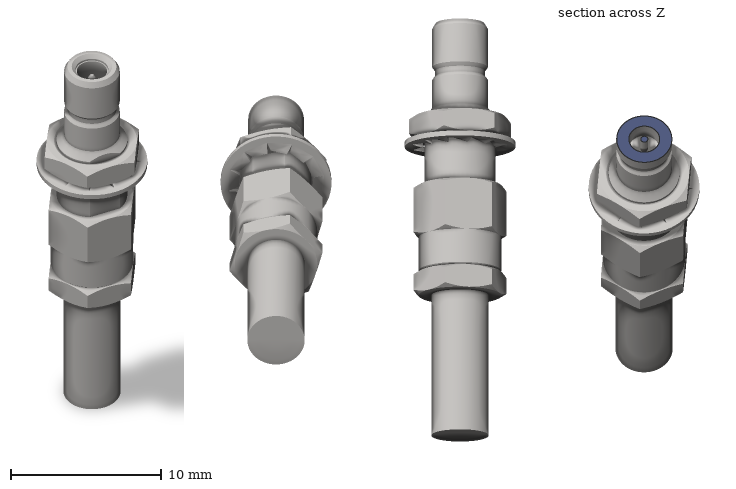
import cadquery as cq
import math

total_length = 28.1
plug_radius = 1.85
plug_tip_radius = 1.63
plug_tip_height = 0.37
groove_top_z = 25.12
groove_bottom_z = 24.25
groove_radius = 1.65
groove_flank_height = 0.25
cone_top_z = 22.28
neck_radius = 2.35
cone_bottom_z = cone_top_z - (neck_radius - plug_radius)
neck_flat_x = 2.08
wrench_hex_top_z = 17.0
wrench_hex_bottom_z = 13.52
collar_radius = 2.75
collar_bottom_z = 11.15
collar_chamfer = 0.08
clamp_hex_top_z = 11.1
clamp_hex_bottom_z = 9.55
clamp_neck_radius = collar_radius - 0.17
tube_radius = 1.9

body_hex_half_width = 2.75
nut_hex_half_width = 3.0
hex_half_angle = 30.0
hex_bevel_slope = math.tan(math.radians(30))

nut_top_z = 21.7
nut_bottom_z = 20.18
nut_countersink_radius = 2.53
nut_countersink_slope = math.tan(math.radians(30))

socket_mouth_radius = 1.35
socket_mouth_depth = 0.25
socket_step_radius = 1.1
socket_step_depth = 0.4
socket_radius = 1.0
socket_depth = 3.37
pin_radius = 0.25
pin_tip_radius = 0.1
pin_taper_height = 0.22
pin_top_depth = 0.73

washer_diameter = 7.4
washer_top_z = 20.0
washer_thickness = 0.35
tooth_root_apothem = 3.15
tooth_tip_apothem = 2.45
tooth_count = 12
tooth_pitch_angle = 360 / tooth_count
tooth_tip_gap_angle = 5.0
tooth_twist_rise = nut_bottom_z - washer_top_z


def turned(profile):
    """Solid of revolution about Z from (radius, z) points."""
    return cq.Workplane("XZ").polyline(profile).close().revolve(360, (0, 0, 0), (0, 1, 0))


def bevelled_hex(half_width, bottom_z, top_z):
    """Hexagonal prism with flats facing +X and -X, its corners bevelled at both ends."""
    corner_radius = half_width / math.cos(math.radians(hex_half_angle))
    bevel_height = (corner_radius - half_width) * hex_bevel_slope
    prism = (
        cq.Workplane("XY", origin=(0, 0, bottom_z))
        .polygon(6, 2 * corner_radius)
        .extrude(top_z - bottom_z)
        .rotate((0, 0, 0), (0, 0, 1), hex_half_angle)
    )
    envelope = turned([
        (0, bottom_z),
        (half_width, bottom_z),
        (corner_radius, bottom_z + bevel_height),
        (corner_radius, top_z - bevel_height),
        (half_width, top_z),
        (0, top_z),
    ])
    return prism.intersect(envelope)


def plug_and_neck():
    """Plug end with its snap groove, cone and threaded neck, flattened on the +X side."""
    blank = turned([
        (0, wrench_hex_bottom_z),
        (neck_radius, wrench_hex_bottom_z),
        (neck_radius, cone_bottom_z),
        (plug_radius, cone_top_z),
        (plug_radius, groove_bottom_z),
        (groove_radius, groove_bottom_z + groove_flank_height),
        (groove_radius, groove_top_z - groove_flank_height),
        (plug_radius, groove_top_z),
        (plug_radius, total_length - plug_tip_height),
        (plug_tip_radius, total_length),
        (0, total_length),
    ])
    flat_depth = neck_radius - neck_flat_x
    flat_cutter = cq.Workplane("XY", origin=(neck_flat_x, 0, wrench_hex_top_z)).box(
        flat_depth, 2 * neck_radius, cone_top_z - wrench_hex_top_z, centered=(False, True, False)
    )
    return blank.cut(flat_cutter)


def collar_and_tube():
    """Round collar between the two hexes, and the tail tube below them."""
    return turned([
        (0, 0),
        (tube_radius, 0),
        (tube_radius, clamp_hex_bottom_z),
        (clamp_neck_radius, clamp_hex_bottom_z),
        (clamp_neck_radius, collar_bottom_z),
        (collar_radius - collar_chamfer, collar_bottom_z),
        (collar_radius, collar_bottom_z + collar_chamfer),
        (collar_radius, wrench_hex_bottom_z),
        (0, wrench_hex_bottom_z),
    ])


def countersunk_nut():
    """Hex nut whose shallow countersink runs down to the flat of the neck."""
    countersink_depth = (nut_countersink_radius - neck_flat_x) * nut_countersink_slope
    countersink = turned([
        (0, nut_top_z - countersink_depth),
        (neck_flat_x, nut_top_z - countersink_depth),
        (nut_countersink_radius, nut_top_z),
        (0, nut_top_z),
    ])
    return bevelled_hex(nut_hex_half_width, nut_bottom_z, nut_top_z).cut(countersink)


def socket():
    """Stepped bore of the plug end, less the contact pin that stands in it."""
    floor_z = total_length - socket_depth
    step_z = total_length - socket_step_depth
    bore = turned([
        (0, floor_z),
        (socket_radius, floor_z),
        (socket_radius, step_z),
        (socket_step_radius, step_z),
        (socket_step_radius, total_length - socket_mouth_depth),
        (socket_mouth_radius, total_length),
        (0, total_length),
    ])
    pin_top_z = total_length - pin_top_depth
    pin = turned([
        (0, floor_z),
        (pin_radius, floor_z),
        (pin_radius, pin_top_z - pin_taper_height),
        (pin_tip_radius, pin_top_z),
        (0, pin_top_z),
    ])
    return bore.cut(pin)


def make_housing():
    """Connector housing in one piece with its hexes, nut and contact pin."""
    return (
        plug_and_neck()
        .union(collar_and_tube())
        .union(bevelled_hex(body_hex_half_width, wrench_hex_bottom_z, wrench_hex_top_z))
        .union(bevelled_hex(body_hex_half_width, clamp_hex_bottom_z, clamp_hex_top_z))
        .union(countersunk_nut())
        .cut(socket())
    )


def tooth_section(apothem, gap_angle, twist_rise):
    """Upright cross-section of a tooth at a distance from Z, raised at one end and lowered at the other."""
    half_width = apothem * math.tan(math.radians((tooth_pitch_angle - gap_angle) / 2))
    washer_bottom_z = washer_top_z - washer_thickness
    return cq.Wire.makePolygon(
        [
            cq.Vector(apothem, half_width, washer_bottom_z - twist_rise),
            cq.Vector(apothem, half_width, washer_top_z - twist_rise),
            cq.Vector(apothem, -half_width, washer_top_z + twist_rise),
            cq.Vector(apothem, -half_width, washer_bottom_z + twist_rise),
        ],
        close=True,
    )


def washer_tooth():
    """Twisted tooth centred on +X, as wide as the pitch at its level root, narrower at its tilted tip."""
    tip = tooth_section(tooth_tip_apothem, tooth_tip_gap_angle, tooth_twist_rise)
    root = tooth_section(tooth_root_apothem, 0, 0)
    return cq.Workplane(cq.Solid.makeLoft([tip, root], True))


def make_lock_washer():
    """Flat ring whose bore has one flat wall per tooth, with the twisted teeth standing on those walls."""
    corner_radius = tooth_root_apothem / math.cos(math.radians(tooth_pitch_angle / 2))
    bore = (
        cq.Workplane("XY", origin=(0, 0, washer_top_z - washer_thickness))
        .polygon(tooth_count, 2 * corner_radius)
        .extrude(washer_thickness)
        .rotate((0, 0, 0), (0, 0, 1), tooth_pitch_angle / 2)
    )
    washer = (
        cq.Workplane("XY", origin=(0, 0, washer_top_z - washer_thickness))
        .circle(washer_diameter / 2)
        .extrude(washer_thickness)
        .cut(bore)
    )
    tooth = washer_tooth()
    for index in range(tooth_count):
        washer = washer.union(tooth.rotate((0, 0, 0), (0, 0, 1), index * tooth_pitch_angle))
    return washer.rotate((0, 0, 0), (0, 0, 1), (tooth_tip_gap_angle - tooth_pitch_angle) / 2)


housing = make_housing().solids()
lock_washer = make_lock_washer().solids()

result = cq.Compound.makeCompound([housing.val(), lock_washer.val()])